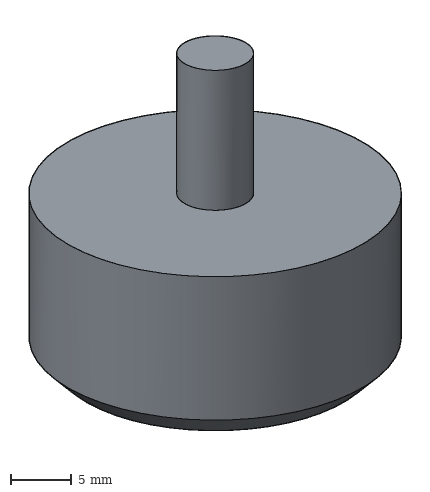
import cadquery as cq

total_height = 32.5
body_diameter = 31.0
stem_diameter = 6.4
stem_length = 13.03
chamfer_size = 1.98
cone_height = 4.13

body_radius = body_diameter / 2
stem_radius = stem_diameter / 2
cone_radius = body_radius - chamfer_size
body_bottom = cone_height + chamfer_size
body_top = total_height - stem_length

profile = (
    cq.Workplane("XZ")
    .moveTo(0, 0)
    .lineTo(cone_radius, cone_height)
    .lineTo(body_radius, body_bottom)
    .lineTo(body_radius, body_top)
    .lineTo(stem_radius, body_top)
    .lineTo(stem_radius, total_height)
    .lineTo(0, total_height)
    .close()
)
result = profile.revolve(360, (0, 0, 0), (0, 1, 0))